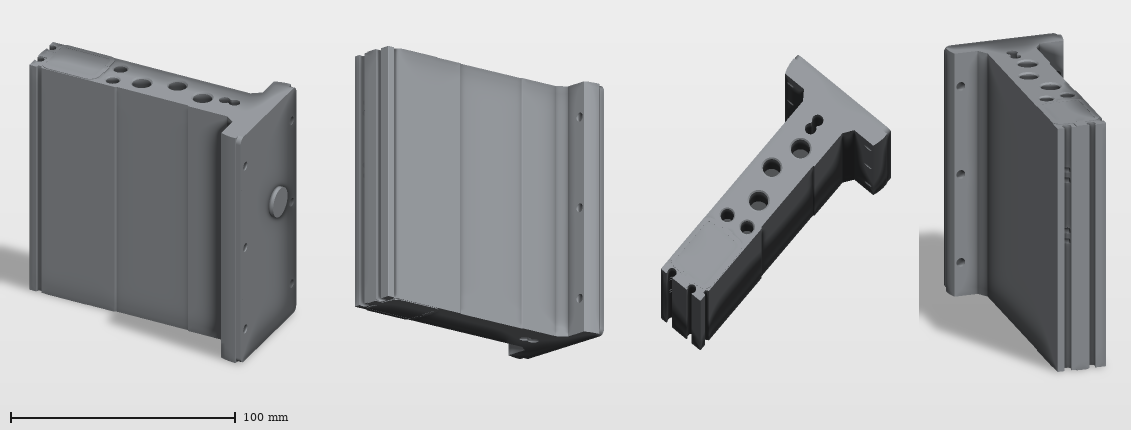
import cadquery as cq
import math

overall_height = 116.6
cap_thickness = 0.3
housing_bottom = cap_thickness
housing_top = overall_height - cap_thickness
housing_height = housing_top - housing_bottom

arm_half_width = 11.4
arm_corner_chamfer = 0.2
flange_width = 54.0
flange_half_width = flange_width / 2
flange_edge_drop = 1.4
gusset_start_x = 99.0
gusset_rise = 3.1
flange_front_x = 103.4
flange_back_x = 111.5
flange_back_chamfer = 0.5
flange_back_chamfer_drop = 0.2

panel_start_x = 42.6
panel_end_x = 79.5
panel_depth = 0.6
panel_start_slope = 0.9
panel_end_slope = 0.5

notch_start_x = 3.7
notch_floor_end_x = 5.2
notch_end_x = 6.0
notch_depth = 1.4
notch_lip_chamfer = 0.5

upper_groove = (1.9, 6.5, 4.1, 3.3)
lower_groove = (1.9, -4.9, 4.0, 2.8)

cross_bore_x = 3.5
cross_bore_length = 4.1
cross_bores = [(94.7, 2.5), (89.8, 2.7), (65.8, 2.7), (60.9, 2.5)]

bore_depth = 23.3
top_bores = [
    (37.5, 4.2, 6.0, 0.6),
    (39.0, -6.1, 6.0, 0.6),
    (51.5, -2.3, 8.5, 0.7),
    (66.8, 2.8, 8.0, 0.7),
    (81.6, -1.5, 8.5, 0.7),
]

slot_centres_x = (91.5, 96.4)
slot_y = 0.8
slot_diameter = 5.1
slot_waist = 3.0

screw_hole_diameter = 4.1
screw_offset_y = 22.5
screw_pitch_z = 42.0
screw_heights = [overall_height / 2 + step * screw_pitch_z for step in (-1, 0, 1)]

plate_thickness = 2.5
plate_back_x = flange_back_x + plate_thickness
plate_corner_radius = 2.9
button_diameter = 14.0
button_height = 2.2
button_y = 7.2
button_z = 66.8

pad_start_x = 4.4
pad_end_x = 32.5
pad_bottom_y = -11.1
pad_top_y = 11.8
pad_radius = 4.9
neck_bottom_y = -2.8
neck_top_y = 2.6
bulge_end_x = 33.0

label_depth = 0.1
label_start_x = 5.8
label_end_x = 30.7
label_bottom_y = -8.6
label_top_y = 9.2
label_radius = 2.1
tab_length = 1.4
tab_bottom_y = 0.8
tab_top_y = 3.0


def box_between(x_start, x_end, y_start, y_end, z_start, z_end):
    """Box given by its limits along the three axes."""
    return cq.Workplane("XY").box(
        x_end - x_start, y_end - y_start, z_end - z_start, centered=False
    ).translate((x_start, y_start, z_start))


def upright_cylinder(x, y, diameter, z_start, z_end):
    """Cylinder along Z."""
    return (
        cq.Workplane("XY", origin=(x, y, z_start))
        .circle(diameter / 2)
        .extrude(z_end - z_start)
    )


def arm_and_flange():
    """Extruded profile with rounded outer flange edges and a small chamfer behind them."""
    arc_end_x = flange_back_x - flange_back_chamfer
    edge_run = arc_end_x - flange_front_x
    edge_radius = (edge_run**2 + flange_edge_drop**2) / (2 * flange_edge_drop)
    half_angle = math.asin(edge_run / edge_radius) / 2
    arc_mid_x = arc_end_x - edge_radius * math.sin(half_angle)
    arc_mid_y = flange_half_width - edge_radius * (1 - math.cos(half_angle))
    gusset_y = arm_half_width + gusset_rise
    back_y = flange_half_width - flange_back_chamfer_drop
    edge_y = flange_half_width - flange_edge_drop
    return (
        cq.Workplane("XY", origin=(0, 0, housing_bottom))
        .moveTo(0, -arm_half_width)
        .lineTo(gusset_start_x, -arm_half_width)
        .lineTo(flange_front_x, -gusset_y)
        .lineTo(flange_front_x, -edge_y)
        .threePointArc((arc_mid_x, -arc_mid_y), (arc_end_x, -flange_half_width))
        .lineTo(flange_back_x, -back_y)
        .lineTo(flange_back_x, back_y)
        .lineTo(arc_end_x, flange_half_width)
        .threePointArc((arc_mid_x, arc_mid_y), (flange_front_x, edge_y))
        .lineTo(flange_front_x, gusset_y)
        .lineTo(gusset_start_x, arm_half_width)
        .lineTo(0, arm_half_width)
        .close()
        .extrude(housing_height)
        .edges("|Z and <X")
        .chamfer(arm_corner_chamfer)
    )


def groove_cutter(x, y, diameter, mouth):
    """Round groove along Z with a parallel mouth open to the end face."""
    channel = upright_cylinder(x, y, diameter, housing_bottom, housing_top)
    opening = box_between(0, x, y - mouth / 2, y + mouth / 2, housing_bottom, housing_top)
    return channel.union(opening)


def cross_bore_cutter(z, diameter):
    """Bore along Y, as long as the upper groove is wide."""
    groove_y = upper_groove[1]
    return (
        cq.Workplane("XZ", origin=(cross_bore_x, groove_y + cross_bore_length / 2, z))
        .circle(diameter / 2)
        .extrude(cross_bore_length)
    )


def panel_cutter():
    """Panel recess with sloped edges, along Z in the -Y side."""
    side_y = -arm_half_width
    floor_y = side_y + panel_depth
    return (
        cq.Workplane("XY", origin=(0, 0, housing_bottom))
        .moveTo(panel_start_x, side_y)
        .lineTo(panel_start_x + panel_start_slope, floor_y)
        .lineTo(panel_end_x - panel_end_slope, floor_y)
        .lineTo(panel_end_x, side_y)
        .close()
        .extrude(housing_height)
    )


def notch_cutter():
    """Notch along Z in the -Y side."""
    side_y = -arm_half_width
    floor_y = side_y + notch_depth
    return (
        cq.Workplane("XY", origin=(0, 0, housing_bottom))
        .moveTo(notch_start_x - notch_lip_chamfer, side_y)
        .lineTo(notch_start_x, side_y + notch_lip_chamfer)
        .lineTo(notch_start_x, floor_y)
        .lineTo(notch_floor_end_x, floor_y)
        .lineTo(notch_end_x, side_y)
        .close()
        .extrude(housing_height)
    )


def top_bore_cutter(x, y, diameter, rim_chamfer):
    """Blind bore from the top face, with a chamfered rim."""
    bore = upright_cylinder(x, y, diameter, housing_top - bore_depth, housing_top)
    radius = diameter / 2
    rim = cq.Solid.makeCone(
        radius, radius + rim_chamfer, rim_chamfer, pnt=cq.Vector(x, y, housing_top - rim_chamfer)
    )
    return bore.union(cq.Workplane(rim))


def slot_cutter():
    """Two bores along Z joined by the waist."""
    half_waist = slot_waist / 2
    slot = box_between(
        *slot_centres_x, slot_y - half_waist, slot_y + half_waist, housing_bottom, housing_top
    )
    for x in slot_centres_x:
        slot = slot.union(upright_cylinder(x, slot_y, slot_diameter, housing_bottom, housing_top))
    return slot


def screw_hole_cutters():
    """Screw holes along X through the flange and the plate."""
    return (
        cq.Workplane("YZ", origin=(flange_front_x, 0, 0))
        .pushPoints([(side * screw_offset_y, z) for side in (-1, 1) for z in screw_heights])
        .circle(screw_hole_diameter / 2)
        .extrude(plate_back_x - flange_front_x)
    )


def make_housing():
    body = arm_and_flange()
    body = body.cut(panel_cutter()).cut(notch_cutter()).cut(slot_cutter())
    for groove in (upper_groove, lower_groove):
        body = body.cut(groove_cutter(*groove))
    for z, diameter in cross_bores:
        body = body.cut(cross_bore_cutter(z, diameter))
    for bore in top_bores:
        body = body.cut(top_bore_cutter(*bore))
    return body.cut(screw_hole_cutters())


def make_plate():
    """Rear plate with rounded corners, the button and the screw holes."""
    plate = box_between(
        flange_back_x, plate_back_x,
        -flange_half_width, flange_half_width,
        housing_bottom, housing_top,
    )
    plate = plate.edges("|X").fillet(plate_corner_radius)
    button = (
        cq.Workplane("YZ", origin=(plate_back_x, button_y, button_z))
        .circle(button_diameter / 2)
        .extrude(button_height)
    )
    return plate.union(button).cut(screw_hole_cutters())


def label_cutter():
    """Label recess in the outer face of a cap that lies on Z = 0."""
    floor_z = cap_thickness - label_depth
    field = box_between(
        label_start_x, label_end_x, label_bottom_y, label_top_y, floor_z, cap_thickness
    )
    field = field.edges("|Z").fillet(label_radius)
    tabs = box_between(
        label_start_x - tab_length, label_end_x + tab_length,
        tab_bottom_y, tab_top_y,
        floor_z, cap_thickness,
    )
    return field.union(tabs)


def make_cap():
    """End cap lying on Z = 0 with its outer face up."""
    pad = box_between(pad_start_x, pad_end_x, pad_bottom_y, pad_top_y, 0, cap_thickness)
    pad = pad.edges("|Z").fillet(pad_radius)
    neck = box_between(0, bulge_end_x, neck_bottom_y, neck_top_y, 0, cap_thickness)
    arm_outline = box_between(0, bulge_end_x, -arm_half_width, arm_half_width, 0, cap_thickness)
    return pad.union(neck).intersect(arm_outline).cut(label_cutter())


housing = make_housing()
plate = make_plate()
caps = []
for is_top in (False, True):
    cap = make_cap()
    if is_top:
        cap = cap.translate((0, 0, housing_top))
    else:
        cap = cap.mirror("XY").translate((0, 0, housing_bottom))
    caps.append(cap.val())

result = cq.Compound.makeCompound([housing.val(), plate.val(), *caps])